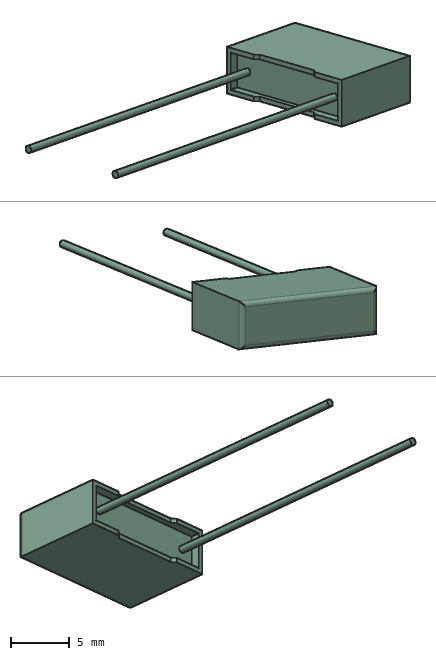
import cadquery as cq

overall_length = 36.1
case_width = 13.2
case_length = 9.02
case_height = 4.22
wall = 0.45
back_edge_radius = 0.45

notch_mouth_width = 7.05
notch_floor_width = 6.25
notch_depth = 0.32

fill_recess = 0.85

lead_diameter = 0.65
lead_pitch = 10.0

cavity_width = case_width - 2 * wall
cavity_height = case_height - 2 * wall
cavity_length = case_length - wall
lead_tip_y = case_length - overall_length


def block(width, height, start_y, end_y):
    """Box centred on X and Z that spans start_y to end_y."""
    return cq.Workplane("XY").box(width, end_y - start_y, height, centered=(True, False, True)).translate(
        (0, start_y, 0)
    )


def mouth_notch():
    """Trapezoid cutter through both broad walls at the mouth."""
    half_mouth = notch_mouth_width / 2
    half_floor = notch_floor_width / 2
    outline = [(-half_mouth, 0), (half_mouth, 0), (half_floor, notch_depth), (-half_floor, notch_depth)]
    return cq.Workplane("XY").polyline(outline).close().extrude(case_height / 2, both=True)


def make_case():
    """Box with rounded back edges, a cavity and a notched mouth."""
    shell = block(case_width, case_height, 0, case_length).faces(">Y").edges().fillet(back_edge_radius)
    cavity = block(cavity_width, cavity_height, 0, cavity_length)
    return shell.cut(cavity).cut(mouth_notch())


def make_fill():
    """Potting that fills the cavity up to its recessed face."""
    return block(cavity_width, cavity_height, fill_recess, cavity_length)


def make_lead(x):
    """Straight round wire that runs from the fill face to the tip."""
    wire = cq.Workplane("XZ").circle(lead_diameter / 2).extrude(fill_recess - lead_tip_y)
    return wire.translate((x, fill_recess, 0))


case = make_case()
fill = make_fill()
leads = [make_lead(side * lead_pitch / 2) for side in (-1, 1)]

result = cq.Compound.makeCompound([case.val(), fill.val(), *[lead.val() for lead in leads]])